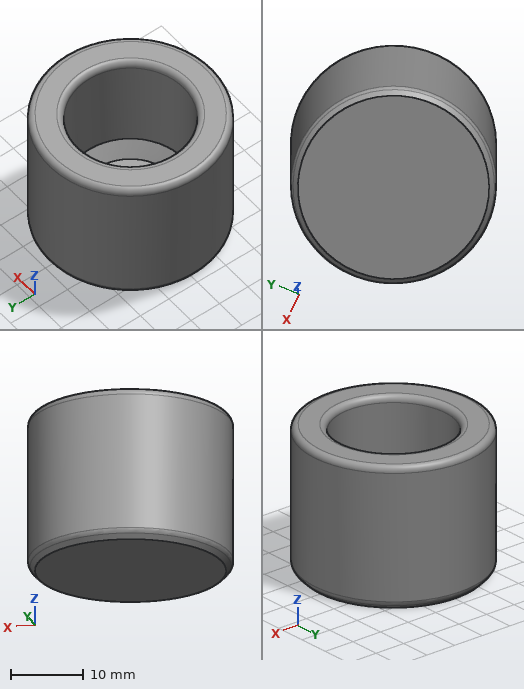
import cadquery as cq
import math

outer_diameter = 28.5
height = 22.0
outer_radius = outer_diameter / 2

edge_round = 1.0
bottom_chamfer = 1.0
chamfer_blend = edge_round

bore_diameter = 18.5
floor_diameter = 14.48
floor_thickness = 4.0
cone_angle = 45.0
bore_radius = bore_diameter / 2
floor_radius = floor_diameter / 2
cone_height = (bore_radius - floor_radius) * math.tan(math.radians(cone_angle))


def make_body():
    """Cylinder with a chamfered bottom rim, blended softly into the side."""
    body = cq.Workplane("XY").circle(outer_radius).extrude(height)
    body = body.faces("<Z").edges().chamfer(bottom_chamfer)
    rim = body.edges("%CIRCLE").edges(cq.selectors.RadiusNthSelector(1)).edges("<Z")
    return rim.fillet(chamfer_blend)


def make_bore():
    """Revolved cutter for the straight bore, the cone and the flat floor."""
    return (
        cq.Workplane("XZ")
        .moveTo(0, floor_thickness)
        .lineTo(floor_radius, floor_thickness)
        .lineTo(bore_radius, floor_thickness + cone_height)
        .lineTo(bore_radius, height)
        .lineTo(0, height)
        .close()
        .revolve(360, (0, 0, 0), (0, 1, 0))
    )


result = make_body().cut(make_bore()).faces(">Z").edges().fillet(edge_round)